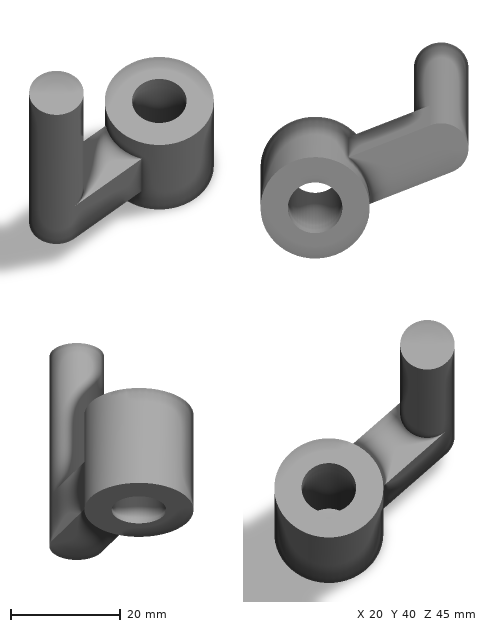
import cadquery as cq

total_height = 45.0
hub_diameter = 20.0
hub_height = 20.0
bore_diameter = 10.0
pin_diameter = 10.0
arm_height = 10.0
center_distance = 25.0

arm_width = pin_diameter
arm_bottom = (hub_height - arm_height) / 2
pin_length = total_height - arm_bottom


def make_hub():
    """Solid hub standing on the base plane, centred on the Z axis."""
    return cq.Workplane("XY").circle(hub_diameter / 2).extrude(hub_height)


def make_arm():
    """Flat-sided arm from the hub axis to the pin axis."""
    return (
        cq.Workplane("XY", origin=(0, -center_distance / 2, arm_bottom))
        .rect(arm_width, center_distance)
        .extrude(arm_height)
    )


def make_pin():
    """Upright pin, flush with the underside of the arm."""
    return (
        cq.Workplane("XY", origin=(0, -center_distance, arm_bottom))
        .circle(pin_diameter / 2)
        .extrude(pin_length)
    )


def make_bore():
    """Through bore of the hub, which also clears the root of the arm."""
    return cq.Workplane("XY").circle(bore_diameter / 2).extrude(hub_height)


result = make_hub().union(make_arm()).union(make_pin()).cut(make_bore())